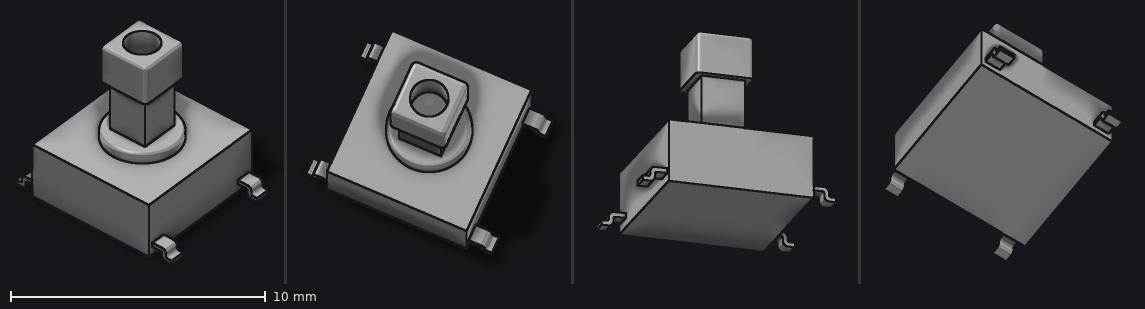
import cadquery as cq

body_length = 6.0
body_width = 6.3
body_height = 2.6

collar_diameter = 3.4
collar_height = 0.5
stem_side = 1.8
stem_height = 2.4
cap_side = 2.4
cap_height = 1.8
edge_radius = 0.2
bore_diameter = 1.5
bore_depth = cap_height

overall_length = 8.0
lead_width = 0.7
lead_inset = 0.2
lead_thickness = 0.2
lead_height = 0.6
foot_flat = 0.2
inner_bend = lead_thickness / 2
outer_bend = lead_thickness

collar_top = body_height + collar_height
stem_top = collar_top + stem_height


def make_body():
    return cq.Workplane("XY").box(body_length, body_width, body_height, centered=(True, True, False))


def make_collar():
    collar = cq.Workplane("XY").workplane(offset=body_height).circle(collar_diameter / 2).extrude(collar_height)
    return collar.faces(">Z").edges().fillet(edge_radius)


def make_plunger():
    stem = cq.Workplane("XY").workplane(offset=collar_top).rect(stem_side, stem_side).extrude(stem_height)
    cap = cq.Workplane("XY").workplane(offset=stem_top).rect(cap_side, cap_side).extrude(cap_height)
    cap = cap.edges("|Z or >Z").fillet(edge_radius)
    bore = (
        cq.Workplane("XY")
        .workplane(offset=stem_top + cap_height - bore_depth)
        .circle(bore_diameter / 2)
        .extrude(bore_depth)
    )
    return stem.union(cap).cut(bore)


def make_lead():
    """Lead on the -X, -Y corner: foot, riser and shoulder bent from one strip."""
    tip = -overall_length / 2
    root = -body_length / 2
    riser_outside = tip + foot_flat + inner_bend
    riser_inside = riser_outside + lead_thickness
    shoulder_bottom = lead_height - lead_thickness
    side = -body_width / 2 + lead_inset
    return (
        cq.Workplane("XZ", origin=(0, side, 0))
        .moveTo(tip, 0)
        .lineTo(riser_inside - outer_bend, 0)
        .radiusArc((riser_inside, outer_bend), -outer_bend)
        .lineTo(riser_inside, shoulder_bottom - inner_bend)
        .radiusArc((riser_inside + inner_bend, shoulder_bottom), inner_bend)
        .lineTo(root, shoulder_bottom)
        .lineTo(root, lead_height)
        .lineTo(riser_outside + outer_bend, lead_height)
        .radiusArc((riser_outside, lead_height - outer_bend), -outer_bend)
        .lineTo(riser_outside, lead_thickness + inner_bend)
        .radiusArc((riser_outside - inner_bend, lead_thickness), inner_bend)
        .lineTo(tip, lead_thickness)
        .close()
        .extrude(-lead_width)
    )


result = make_body().union(make_collar()).union(make_plunger())

left_leads = make_lead().union(make_lead().mirror("XZ"))
result = result.union(left_leads).union(left_leads.mirror("YZ"))